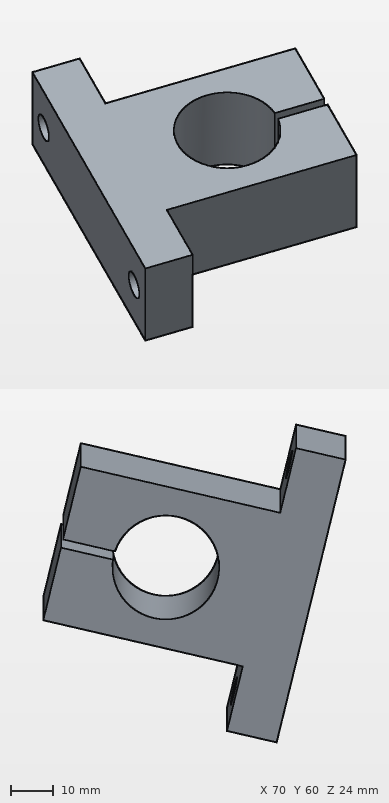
import cadquery as cq

base_width = 70.0
total_height = 60.0
thickness = 24.0
base_height = 12.0
body_width = 38.0

bore_diameter = 25.0
bore_height = 35.0
slit_width = 2.0
screw_diameter = 6.0
screw_depth_from_top = 8.0

mount_hole_diameter = 6.6
mount_hole_spacing = 56.0


def block(width, height):
    """Full-thickness block centred on X, standing on the mounting face Y = 0."""
    return cq.Workplane("XY").box(width, height, thickness, centered=(True, False, True))


support = block(base_width, base_height).union(block(body_width, total_height))

bore = (
    cq.Workplane("XY")
    .center(0, bore_height)
    .circle(bore_diameter / 2)
    .extrude(thickness / 2, both=True)
)
slit = block(slit_width, total_height - bore_height).translate((0, bore_height, 0))
support = support.cut(bore).cut(slit)

screw = (
    cq.Workplane("YZ", origin=(-slit_width / 2, 0, 0))
    .center(total_height - screw_depth_from_top, 0)
    .circle(screw_diameter / 2)
    .extrude(slit_width)
)
support = support.union(screw)

mount_holes = (
    cq.Workplane("XZ")
    .pushPoints([(side * mount_hole_spacing / 2, 0) for side in (-1, 1)])
    .circle(mount_hole_diameter / 2)
    .extrude(-base_height)
)
result = support.cut(mount_holes)